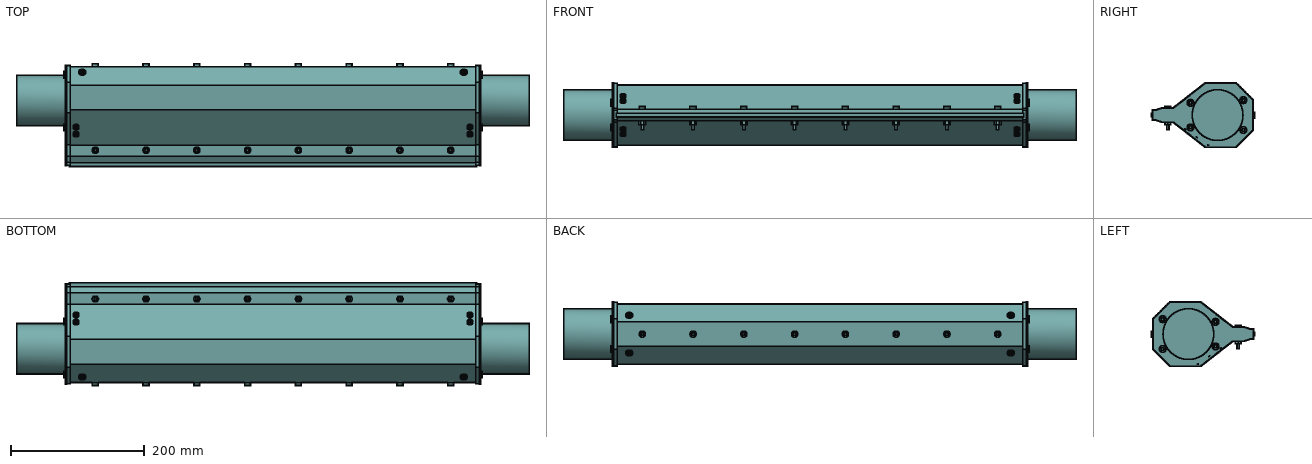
import cadquery as cq


length = 767.0
roller_diameter = 76.0

plate_outer_x = length / 2 - 73.0
plate_thickness = 8.0
cap_thickness = 2.0
flange_inset = 0.4
plate_inner_x = plate_outer_x - plate_thickness

plate_half = [(53.0, 23.0), (27.5, 48.0), (-18.5, 48.0), (-67.0, 11.0), (-83.5, 11.0), (-93.0, 8.0), (-97.0, 8.0)]

back_y = 50.5
tip_y = -99.0
slope_top = (-14.0, 45.0)
slope_foot = (-67.0, 8.5)
bevel_top = (24.5, 44.0)
bevel_foot = (back_y, 18.5)
bend_start = (23.0, slope_top[1])
lip_end_y = -83.5
tip_start = (-93.0, 3.0)
tip_bevel_length = 1.5
tip_bevel_height = 0.4

clamp_count = 8
clamp_pitch = 76.0
clamp_y = -74.0
clamp_head_diameter = 9.0
clamp_head_height = 4.5
nut_corner_diameter = 10.0
nut_height = 6.0
shank_diameter = 4.0
shank_length = 14.0

slope_screw_diameter = 8.5
cover_screw_height = 2.0
slope_screw_inset = 8.5
slope_screw_ys = (-39.0, -50.0)
bevel_screw_diameter = 10.0
bevel_screw_inset = 18.0
bevel_screw_y = 41.5
plate_screw_diameter = 10.0
plate_screw_height = 2.0
plate_screws = [(38.0, 22.0), (-41.0, 18.5)]

socket_ratio = 0.5
socket_depth = 1.5

overlap = 1.5


def mirrored_section(half):
    """Closed YZ outline made of an upper half and its reflection below the X axis."""
    lower = [(y, -z) for y, z in reversed(half)]
    return cq.Workplane("YZ").polyline(half + lower).close()


def pin(seat, normal, diameter, height):
    """Cylinder standing on a seat point along the normal, sunk slightly below the seat."""
    direction = cq.Vector(*normal).normalized()
    start = cq.Vector(*seat) - direction * overlap
    return cq.Workplane(obj=cq.Solid.makeCylinder(diameter / 2, height + overlap, start, direction))


def screw_head(seat, normal, diameter, height):
    """Round screw head with a hexagon socket in its top."""
    top = cq.Vector(*seat) + cq.Vector(*normal).normalized() * height
    socket_corner = (1, 0, 0) if normal[0] == 0 else (0, 1, 0)
    socket = (
        cq.Workplane(cq.Plane(top.toTuple(), socket_corner, normal))
        .polygon(6, diameter * socket_ratio)
        .extrude(-socket_depth)
    )
    return pin(seat, normal, diameter, height).cut(socket)


def z_on_line(y, start, end):
    """Height at y on the straight line through two (y, z) points."""
    return start[1] + (end[1] - start[1]) * (y - start[0]) / (end[0] - start[0])


def outward_normal(start, end):
    """Normal of the cover face whose section runs from the back towards the tip."""
    return (0, end[1] - start[1], start[0] - end[0])


def make_housing():
    half = [
        bevel_foot,
        bevel_top,
        bend_start,
        slope_top,
        slope_foot,
        (lip_end_y, slope_foot[1]),
        tip_start,
        (tip_y + tip_bevel_length, tip_start[1]),
        (tip_y, tip_start[1] - tip_bevel_height),
    ]
    return mirrored_section(half).extrude(plate_inner_x + overlap, both=True)


def make_end_plate():
    """End plate on the +X side."""
    flange = mirrored_section(plate_half).offset2D(-flange_inset, "intersection").extrude(plate_thickness)
    cap = (
        mirrored_section(plate_half)
        .extrude(cap_thickness)
        .translate((plate_thickness - cap_thickness, 0, 0))
    )
    return flange.union(cap).translate((plate_inner_x, 0, 0))


def make_clamp_screw(x):
    """Screw through the lip with a nut below, and the screw head on the back at the same x."""
    lip_z = slope_foot[1]
    head = screw_head((x, clamp_y, lip_z), (0, 0, 1), clamp_head_diameter, clamp_head_height)
    shank = pin((x, clamp_y, -lip_z), (0, 0, -1), shank_diameter, shank_length)
    nut = (
        cq.Workplane("XY", origin=(x, clamp_y, -lip_z - nut_height))
        .polygon(6, nut_corner_diameter)
        .extrude(nut_height + overlap)
    )
    back_head = screw_head((x, back_y, 0), (0, 1, 0), clamp_head_diameter, clamp_head_height)
    return head.union(shank).union(nut).union(back_head)


def make_corner_screws():
    """Screw heads of the +X end in the upper half: on the slope, the bevel and the end plate."""
    heads = cq.Workplane()
    slope_x = plate_inner_x - slope_screw_inset
    slope_normal = outward_normal(slope_top, slope_foot)
    for y in slope_screw_ys:
        seat = (slope_x, y, z_on_line(y, slope_top, slope_foot))
        heads = heads.add(screw_head(seat, slope_normal, slope_screw_diameter, cover_screw_height))
    bevel_seat = (
        plate_inner_x - bevel_screw_inset,
        bevel_screw_y,
        z_on_line(bevel_screw_y, bevel_foot, bevel_top),
    )
    bevel_normal = outward_normal(bevel_foot, bevel_top)
    heads = heads.add(screw_head(bevel_seat, bevel_normal, bevel_screw_diameter, cover_screw_height))
    for y, z in plate_screws:
        heads = heads.add(screw_head((plate_outer_x, y, z), (1, 0, 0), plate_screw_diameter, plate_screw_height))
    return heads.combine()


roller = cq.Workplane("YZ").circle(roller_diameter / 2).extrude(length / 2, both=True)
result = roller.union(make_housing())

end_plate = make_end_plate()
result = result.union(end_plate).union(end_plate.mirror("YZ"))

for i in range(clamp_count):
    result = result.union(make_clamp_screw((i - (clamp_count - 1) / 2) * clamp_pitch))

upper_screws = make_corner_screws()
for screws in (upper_screws, upper_screws.mirror("XY")):
    result = result.union(screws).union(screws.mirror("YZ"))